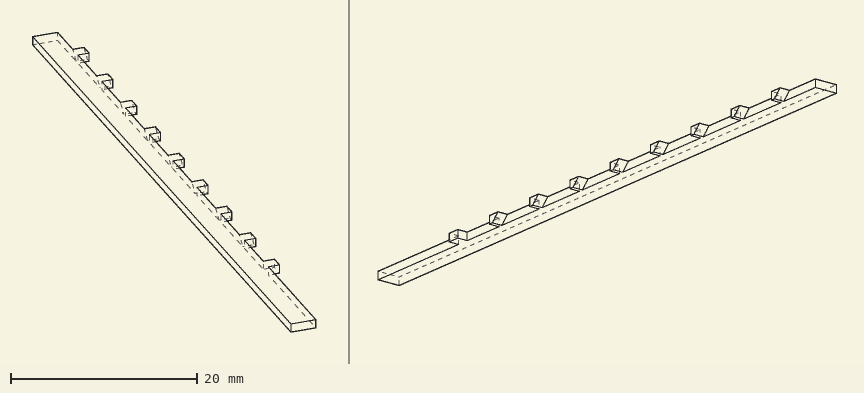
import cadquery as cq

bar_length = 76.0
bar_width = 2.9
thickness = 1.0
total_width = 4.2

tooth_count = 9
tooth_width = 1.5
last_tooth_x = 61.25
first_tooth_x = 5.25
tooth_pitch = (last_tooth_x - first_tooth_x) / (tooth_count - 1)
tooth_undercut = thickness


def make_bar():
    return cq.Workplane("XY").box(bar_length, bar_width, thickness, centered=False)


def make_tooth(index):
    is_last = index == tooth_count - 1
    undercut = 0 if is_last else tooth_undercut
    left_x = first_tooth_x + index * tooth_pitch - tooth_width / 2
    right_x = left_x + tooth_width
    profile = [
        (left_x, thickness),
        (right_x, thickness),
        (right_x, 0),
        (left_x + undercut, 0),
    ]
    return cq.Workplane("XZ").polyline(profile).close().extrude(-total_width)


result = make_bar()
for tooth_index in range(tooth_count):
    result = result.union(make_tooth(tooth_index))